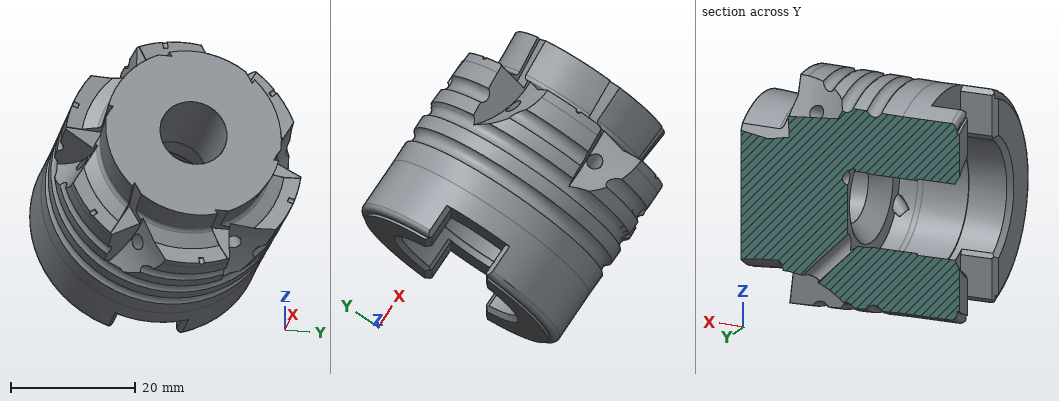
import math

import cadquery as cq

LENGTH = 38.55
SHANK_R = 19.0

FACE_R = 17.6
RIM_STEP = 0.45
RIM_RADIUS = 1.0

TAPER_START_X = 10.0
LAND_R = 19.45
LAND_START_X = 29.3
BODY_END_X = 30.8
DISH_R = 16.8
DISH_DEPTH = 0.3

NOSE_ROOT_X = 31.6
NOSE_ROOT_R = 13.9
NOSE_END_R = 14.43
NOSE_FILLET = 0.8

GROOVE_CENTRES_X = (15.0, 20.0, 25.0)
GROOVE_RADIUS = 1.5
GROOVE_DEPTH = 0.75

BORE_MOUTH_R = 12.0
BORE_ENTRY_R = 22.3 / 2
BORE_FIT_R = 22.0 / 2
BORE_RELIEF_R = 22.15 / 2
BORE_FIT_START_X = 7.5
BORE_FIT_END_X = 15.5
BORE_RELIEF_START_X = 16.5
BORE_FLOOR_X = 19.7
COUNTERSINK_R = 17.0 / 2
THROUGH_R = 11.0 / 2

SLOT_WIDTH = 10.5
SLOT_DEPTH = 6.34
SLOT_CHAMFER = 0.8
SLOT_BORE_CHAMFER = 0.5

SEAT_COUNT = 6
SEAT_FLOOR_Z = 12.13
SEAT_FLOOR_RADIUS = 16.0
SEAT_LOW_X = 31.0
SEAT_WALL_Y = -7.55
SEAT_TILT = 4.1
SEAT_REACH = 20.0

GASH_ROOT_Z = 12.5
GASH_RISE_ANGLE = 4.8
GASH_START_X = 30.0
GASH_END_LEAN = 6.6
GASH_WALL_ROOT_Y = -4.3
GASH_WALL_TIP_Y = -3.2
GASH_WALL_LEAN = 30.0
GASH_HEIGHT = 8.0

COOLANT_R = 2.5 / 2
COOLANT_X = 26.28
COOLANT_Y = -9.15
COOLANT_Z = 12.85
COOLANT_TILT = 45.0
COOLANT_OVERRUN = 2.0

NICK_R = 0.4
NICK_DEPTH = 1.0
NICK_ANGLE = 99.0

CLEARANCE = 1.0


def outer_radius(x):
    """Body radius at a position between the shank and the cutting land."""
    fraction = (x - TAPER_START_X) / (LAND_START_X - TAPER_START_X)
    return SHANK_R + (LAND_R - SHANK_R) * min(max(fraction, 0), 1)


def make_body():
    rim_r = SHANK_R - RIM_RADIUS
    arc_offset = RIM_RADIUS * math.sqrt(0.5)
    rim_centre_x = RIM_STEP + RIM_RADIUS
    body = (
        cq.Workplane("XY")
        .moveTo(0, 0)
        .lineTo(0, FACE_R)
        .lineTo(RIM_STEP, FACE_R)
        .lineTo(RIM_STEP, rim_r)
        .threePointArc(
            (rim_centre_x - arc_offset, rim_r + arc_offset),
            (rim_centre_x, SHANK_R),
        )
        .lineTo(TAPER_START_X, SHANK_R)
        .lineTo(LAND_START_X, LAND_R)
        .lineTo(BODY_END_X, LAND_R)
        .lineTo(BODY_END_X - DISH_DEPTH, DISH_R)
        .lineTo(NOSE_ROOT_X, NOSE_ROOT_R)
        .lineTo(LENGTH, NOSE_END_R)
        .lineTo(LENGTH, 0)
        .close()
        .revolve(360, (0, 0, 0), (1, 0, 0))
    )
    root_edge = cq.selectors.BoxSelector(
        (NOSE_ROOT_X - NOSE_FILLET / 2, -LAND_R, -LAND_R),
        (NOSE_ROOT_X + NOSE_FILLET / 2, LAND_R, LAND_R),
    )
    return body.edges(root_edge).fillet(NOSE_FILLET)


def make_groove(centre_x):
    centre_r = outer_radius(centre_x) + GROOVE_RADIUS - GROOVE_DEPTH
    return (
        cq.Workplane("XY")
        .center(centre_x, 0)
        .moveTo(0, centre_r)
        .circle(GROOVE_RADIUS)
        .revolve(360, (0, 0, 0), (1, 0, 0))
    )


def make_bore():
    mouth_chamfer = BORE_MOUTH_R - BORE_ENTRY_R
    countersink_end_x = BORE_FLOOR_X + COUNTERSINK_R - THROUGH_R
    profile = [
        (0, 0),
        (0, BORE_MOUTH_R),
        (mouth_chamfer, BORE_ENTRY_R),
        (BORE_FIT_START_X, BORE_ENTRY_R),
        (BORE_FIT_START_X, BORE_FIT_R),
        (BORE_FIT_END_X, BORE_FIT_R),
        (BORE_RELIEF_START_X, BORE_RELIEF_R),
        (BORE_FLOOR_X, BORE_RELIEF_R),
        (BORE_FLOOR_X, COUNTERSINK_R),
        (countersink_end_x, THROUGH_R),
        (LENGTH, THROUGH_R),
        (LENGTH, 0),
    ]
    return cq.Workplane("XY").polyline(profile).close().revolve(360, (0, 0, 0), (1, 0, 0))


def make_slot_corner(narrow, wide):
    """Trapezoidal bar that bevels both slot walls between two (y, z) levels."""
    narrow_y, narrow_z = narrow
    wide_y, wide_z = wide
    profile = [
        (-narrow_y, narrow_z),
        (narrow_y, narrow_z),
        (wide_y, wide_z),
        (-wide_y, wide_z),
    ]
    return cq.Workplane("YZ").polyline(profile).close().extrude(SLOT_DEPTH)


def make_slot():
    """Slot along Z with chamfered mouth edges and bevelled wall ends."""
    half = SLOT_WIDTH / 2
    mouth_half = half + SLOT_CHAMFER
    profile = [
        (0, -mouth_half),
        (SLOT_CHAMFER, -half),
        (SLOT_DEPTH, -half),
        (SLOT_DEPTH, half),
        (SLOT_CHAMFER, half),
        (0, mouth_half),
    ]
    slot = cq.Workplane("XY").polyline(profile).close().extrude(LAND_R, both=True)

    outer_z = math.sqrt(SHANK_R**2 - mouth_half**2)
    outer_flare = SHANK_R - outer_z
    outer_corner = make_slot_corner(
        (half, outer_z - SLOT_CHAMFER),
        (mouth_half + outer_flare, outer_z + outer_flare),
    )
    inner_half = half + SLOT_BORE_CHAMFER
    inner_corner = make_slot_corner(
        (half, math.sqrt(BORE_ENTRY_R**2 - half**2) + SLOT_BORE_CHAMFER),
        (inner_half, math.sqrt(BORE_ENTRY_R**2 - inner_half**2)),
    )
    for corner in (outer_corner, inner_corner):
        slot = slot.union(corner).union(corner.rotate((0, 0, 0), (1, 0, 0), 180))
    return slot


def make_seat():
    """Cylinder whose flat end is the seat wall and whose side is the curved floor."""
    axis_z = SEAT_FLOOR_Z + SEAT_FLOOR_RADIUS
    wall_point = (SEAT_LOW_X, SEAT_WALL_Y, axis_z)
    tilt = math.radians(SEAT_TILT)
    direction = cq.Vector(math.sin(tilt), -math.cos(tilt), 0)
    return cq.Workplane(
        cq.Solid.makeCylinder(SEAT_FLOOR_RADIUS, SEAT_REACH, cq.Vector(*wall_point), direction)
    )


def make_gash():
    """Block with a rising floor and a leaning rear end, trimmed by the gash wall."""
    end_x = LENGTH + CLEARANCE
    rise = (end_x - GASH_START_X) * math.tan(math.radians(GASH_RISE_ANGLE))
    lean = GASH_HEIGHT * math.tan(math.radians(GASH_END_LEAN))
    side_profile = [
        (GASH_START_X, GASH_ROOT_Z),
        (end_x, GASH_ROOT_Z + rise),
        (end_x, GASH_ROOT_Z + GASH_HEIGHT),
        (GASH_START_X + lean, GASH_ROOT_Z + GASH_HEIGHT),
    ]
    plan_profile = [
        (GASH_START_X - CLEARANCE, GASH_WALL_ROOT_Y),
        (end_x, GASH_WALL_TIP_Y),
        (end_x, -SEAT_REACH),
        (GASH_START_X - CLEARANCE, -SEAT_REACH),
    ]
    side = cq.Workplane("XZ").polyline(side_profile).close().extrude(SEAT_REACH)
    plan = cq.Workplane("XY").polyline(plan_profile).close().extrude(SEAT_REACH, both=True)
    plan = plan.translate((0, 0, GASH_ROOT_Z))
    pivot = cq.Vector(0, GASH_WALL_ROOT_Y, GASH_ROOT_Z)
    plan = plan.rotate(pivot, pivot + cq.Vector(1, 0, 0), GASH_WALL_LEAN)
    return side.intersect(plan)


def make_rim_nick():
    """Short radial hole that breaks out through the edge of the body end."""
    turn = math.radians(NICK_ANGLE)
    outward = cq.Vector(0, math.cos(turn), math.sin(turn))
    bottom = cq.Vector(BODY_END_X, 0, 0) + outward * (LAND_R - NICK_DEPTH)
    return cq.Workplane(
        cq.Solid.makeCylinder(NICK_R, NICK_DEPTH + CLEARANCE, bottom, outward)
    )


def make_coolant_hole():
    tilt = math.radians(COOLANT_TILT)
    direction = cq.Vector(-math.sin(tilt), 0, -math.cos(tilt))
    outlet = cq.Vector(COOLANT_X, COOLANT_Y, COOLANT_Z)
    start = outlet - direction * COOLANT_OVERRUN
    length = (COOLANT_X - BORE_FLOOR_X) / math.sin(tilt) + 2 * COOLANT_OVERRUN
    return cq.Workplane(cq.Solid.makeCylinder(COOLANT_R, length, start, direction))


result = make_body()
for groove_x in GROOVE_CENTRES_X:
    result = result.cut(make_groove(groove_x))
result = result.cut(make_bore()).cut(make_slot())

for index in range(SEAT_COUNT):
    angle = index * 360 / SEAT_COUNT
    for cutter in (make_seat(), make_gash(), make_coolant_hole(), make_rim_nick()):
        result = result.cut(cutter.rotate((0, 0, 0), (1, 0, 0), angle))